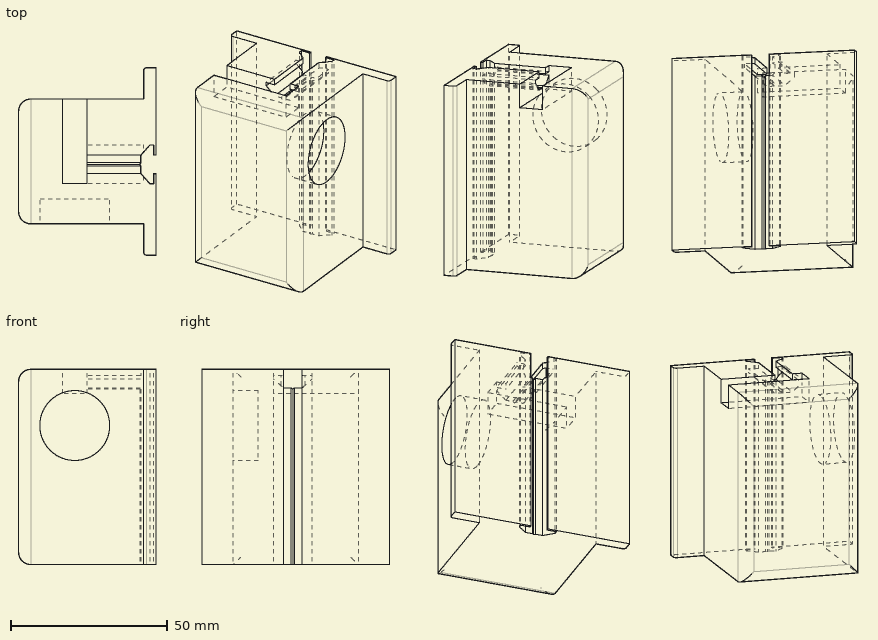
import cadquery as cq

depth = 44.0
block_width = 40.0
height = 62.5
face_radius = 4.0

flange_width = 60.0
flange_thickness = 4.0
flange_radius = 1.0

neck_width = 5.9
wide_width = 12.25
wide_depth = 1.2
taper_depth = 2.8
groove_width = 1.1
groove_depth = 0.4
channel_y = -0.95
back_lip = 0.8
top_lip = 2.0

pocket_width = 7.75
pocket_depth = 7.75
pocket_x = 18.0
pocket_end_y = channel_y - wide_width / 2

recess_diameter = 22.4
recess_depth = 8.0
recess_z = 44.5


def channel_sketch(plane, lip):
    """Undercut channel profile; local x runs across it and local y points out of the opening."""
    neck = neck_width / 2
    wide = wide_width / 2
    wide_end = -lip - wide_depth
    floor = wide_end - taper_depth
    groove_edge = (groove_width / 2, floor)
    right_side = [(neck, 0), (neck, -lip), (wide, -lip), (wide, wide_end), (neck, floor), groove_edge]
    left_side = [(-x, y) for x, y in reversed(right_side)]
    groove_tip = (0, floor - groove_depth)
    return cq.Workplane(plane).polyline(right_side + [groove_tip] + left_side).close()


def make_block():
    block = cq.Workplane("XY").box(depth, block_width, height, centered=(False, True, False))
    return block.faces("<X").edges().fillet(face_radius)


def make_flange():
    flange = cq.Workplane("XY").box(flange_thickness, flange_width, height, centered=(False, True, False))
    flange = flange.translate((depth - flange_thickness, 0, 0))
    return flange.faces("<X").edges("|Z").fillet(flange_radius)


def make_back_channel():
    """Vertical channel that opens on the flat face and runs the full height."""
    plane = cq.Plane(origin=(depth, channel_y, 0), xDir=(0, -1, 0), normal=(0, 0, 1))
    return channel_sketch(plane, back_lip).extrude(height)


def make_top_channel():
    """Horizontal channel that opens on top and runs from the pocket into the back channel."""
    plane = cq.Plane(origin=(pocket_x, channel_y, height), xDir=(0, 1, 0), normal=(1, 0, 0))
    end_x = depth - flange_thickness
    return channel_sketch(plane, top_lip).extrude(end_x - pocket_x)


def make_pocket():
    """Rectangular pocket open on top and on the +Y side."""
    length = block_width / 2 - pocket_end_y
    pocket = cq.Workplane("XY").box(pocket_width, length, pocket_depth, centered=(True, False, False))
    return pocket.translate((pocket_x, pocket_end_y, height - pocket_depth))


def make_recess():
    plane = cq.Plane(origin=(pocket_x, -block_width / 2, recess_z), xDir=(1, 0, 0), normal=(0, 1, 0))
    return cq.Workplane(plane).circle(recess_diameter / 2).extrude(recess_depth)


result = make_block().union(make_flange())
for cutter in (make_back_channel(), make_top_channel(), make_pocket(), make_recess()):
    result = result.cut(cutter)